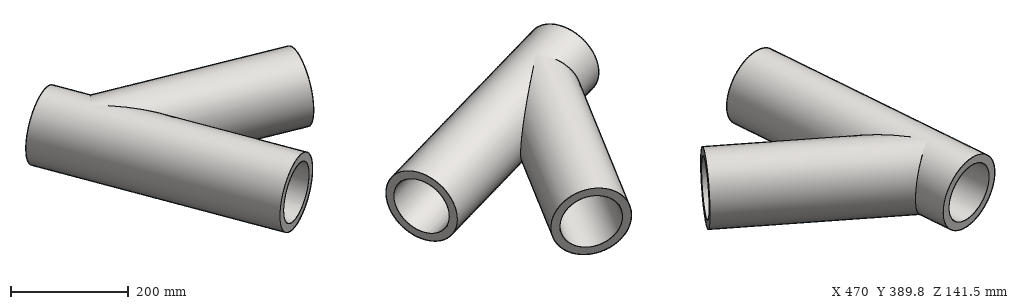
import cadquery as cq
import math

outer_diameter = 141.5
bore_diameter = 109.5
run_length = 470.0
branch_offset = 89.5
branch_length = 380.5
branch_angle = math.radians(45)

run_start = cq.Vector(-branch_offset, 0, 0)
run_direction = cq.Vector(1, 0, 0)
axis_crossing = cq.Vector(0, 0, 0)
branch_direction = cq.Vector(math.cos(branch_angle), math.sin(branch_angle), 0)


def both_pipes(diameter):
    """Joined cylinders of one diameter along the run and branch axes."""
    radius = diameter / 2
    run = cq.Solid.makeCylinder(radius, run_length, run_start, run_direction)
    branch = cq.Solid.makeCylinder(radius, branch_length, axis_crossing, branch_direction)
    return cq.Workplane(obj=run).union(cq.Workplane(obj=branch))


result = both_pipes(outer_diameter).cut(both_pipes(bore_diameter))